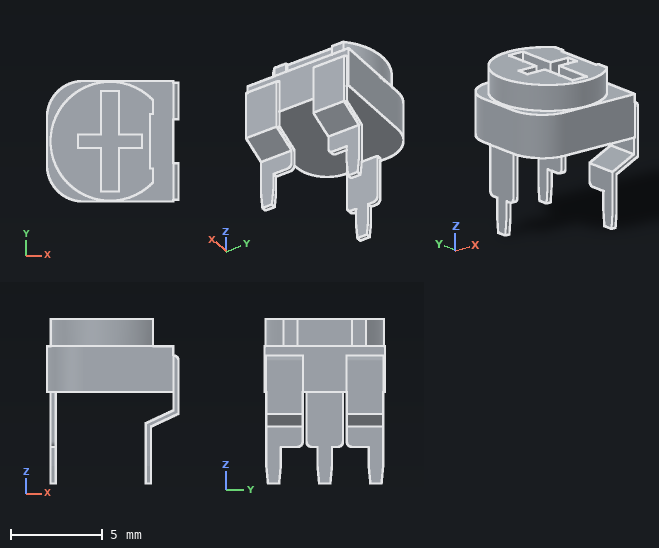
import cadquery as cq
import math


total_height = 9.0
lead_drop = 5.0
housing_height = 2.5
housing_top = lead_drop + housing_height
rotor_height = total_height - housing_top

housing_length = 6.9
housing_width = 6.6
housing_corner_radius = 2.0

rotor_radius = 3.25
rotor_flat_x = 2.35
rotor_notch_depth = 0.16
rotor_notch_width = 3.0
long_slot_length = 5.5
long_slot_width = 1.0
short_slot_length = 3.5
short_slot_width = 0.75
slot_depth = 1.3

lead_thickness = 0.3
lead_width = 2.0
lead_gap = 0.2
side_lead_offset = lead_width + lead_gap
blade_corner_radius = 0.3
shoulder_height = 2.0
pin_width = 0.8
pin_taper_height = 0.945
pin_taper_inset = 0.09
middle_lead_inset = 0.2
side_lead_top_gap = 0.5
bend_start_drop = 1.0
bend_fall = 0.7
bend_run = 1.5

housing_front_x = -housing_length / 2
housing_back_x = housing_length / 2


def make_housing_block():
    block = cq.Workplane("XY").workplane(offset=lead_drop)
    block = block.rect(housing_length, housing_width).extrude(housing_height)
    return block.edges("|Z and <X").fillet(housing_corner_radius)


def pin_outline(pin_y):
    """Slab along X with the tapered shape of one solder pin, up to the blade shoulder."""
    half_width = pin_width / 2
    half_tip = half_width - pin_taper_inset
    points = [
        (pin_y - half_tip, 0),
        (pin_y + half_tip, 0),
        (pin_y + half_width, pin_taper_height),
        (pin_y + half_width, shoulder_height),
        (pin_y - half_width, shoulder_height),
        (pin_y - half_width, pin_taper_height),
    ]
    slab = cq.Workplane("YZ").polyline(points).close()
    return slab.extrude(housing_length, both=True)


def blade_outline(blade_y, top, rounded_edges):
    """Slab along X with the shape of a wide blade; the selected lower corners are rounded."""
    height = top - shoulder_height
    slab = cq.Workplane("XY").box(2 * housing_length, lead_width, height)
    slab = slab.edges(rounded_edges).fillet(blade_corner_radius)
    return slab.translate((0, blade_y, shoulder_height + height / 2))


def make_middle_lead():
    front_x = housing_front_x + middle_lead_inset
    strip = (
        cq.Workplane("XY")
        .box(lead_thickness, lead_width, lead_drop, centered=(False, True, False))
        .translate((front_x, 0, 0))
    )
    outline = blade_outline(0, lead_drop, "|X and <Z").union(pin_outline(0))
    return strip.intersect(outline)


def make_side_lead(side):
    """Bent lead on the back wall; side is +1 or -1 along Y."""
    top = housing_top - side_lead_top_gap
    upper_bend = lead_drop - bend_start_drop
    lower_bend = upper_bend - bend_fall
    lower_x = housing_back_x - bend_run
    slope_angle = math.atan2(bend_fall, bend_run)
    mitre_drop = lead_thickness * math.tan((math.pi / 2 - slope_angle) / 2)
    profile = [
        (housing_back_x, top),
        (housing_back_x, upper_bend),
        (lower_x, lower_bend),
        (lower_x, 0),
        (lower_x + lead_thickness, 0),
        (lower_x + lead_thickness, lower_bend - mitre_drop),
        (housing_back_x + lead_thickness, upper_bend - mitre_drop),
        (housing_back_x + lead_thickness, top - lead_thickness),
    ]
    round_offset = lead_thickness * math.sqrt(0.5)
    round_middle = (housing_back_x + round_offset, top - lead_thickness + round_offset)
    strip = (
        cq.Workplane("XZ")
        .polyline(profile)
        .threePointArc(round_middle, profile[0])
        .close()
        .extrude(housing_width / 2, both=True)
    )
    blade_y = side * side_lead_offset
    pin_y = side * (side_lead_offset + (lead_width - pin_width) / 2)
    inner_corner = "|X and <Z and <Y" if side > 0 else "|X and <Z and >Y"
    outline = blade_outline(blade_y, top, inner_corner).union(pin_outline(pin_y))
    return strip.intersect(outline)


def make_housing():
    housing = make_housing_block().union(make_middle_lead())
    for side in (-1, 1):
        housing = housing.union(make_side_lead(side))
    return housing


def make_rotor():
    plane = cq.Workplane("XY").workplane(offset=housing_top)
    rotor = plane.circle(rotor_radius).extrude(rotor_height)

    beyond_flat = plane.center(rotor_flat_x + rotor_radius / 2, 0)
    rotor = rotor.cut(beyond_flat.rect(rotor_radius, 2 * rotor_radius).extrude(rotor_height))
    notch = plane.center(rotor_flat_x, 0).rect(2 * rotor_notch_depth, rotor_notch_width)
    rotor = rotor.cut(notch.extrude(rotor_height))

    slot_floor = cq.Workplane("XY").workplane(offset=total_height - slot_depth)
    long_slot = slot_floor.rect(long_slot_width, long_slot_length).extrude(slot_depth)
    short_slot = slot_floor.rect(short_slot_length, short_slot_width).extrude(slot_depth)
    return rotor.cut(long_slot).cut(short_slot)


housing = make_housing()
rotor = make_rotor()
result = cq.Compound.makeCompound([housing.solids().val(), rotor.solids().val()])